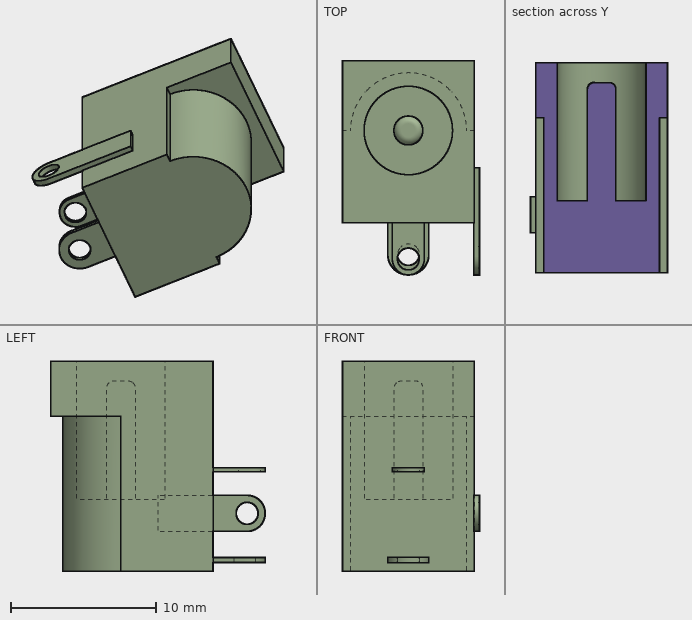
import cadquery as cq


body_width = 9.1
body_height = 14.48
body_depth = 11.18
axis_to_back = 4.82
flange_height = 3.8
barrel_diameter = 8.0

socket_diameter = 6.1
socket_depth = 9.5
pin_diameter = 2.0
pin_recess = 1.35
pin_tip_fillet = 0.5

tab_length = 3.6
tab_hole_diameter = 1.5
tab_root = 1.0

upper_tab_width = 2.2
upper_tab_thickness = 0.3
upper_tab_z = 7.0

lower_tab_width = 2.85
lower_tab_thickness = 0.37
lower_tab_z = 0.78

side_tab_width = 2.5
side_tab_thickness = 0.42
side_tab_protrusion = 0.37
side_tab_overlap = 3.8
side_tab_z = 4.0

front_y = axis_to_back - body_depth
tab_tip_y = front_y - tab_length
flange_bottom_z = body_height - flange_height
socket_floor_z = body_height - socket_depth
pin_length = socket_depth - pin_recess


def make_housing():
    """Block reaching back to the socket axis, with a full-depth flange and a round barrel below it."""
    block = cq.Workplane("XY").box(
        body_width, -front_y, body_height, centered=(True, False, False)
    ).translate((0, front_y, 0))
    flange = cq.Workplane("XY").box(
        body_width, body_depth, flange_height, centered=(True, False, False)
    ).translate((0, front_y, flange_bottom_z))
    barrel = cq.Workplane("XY").circle(barrel_diameter / 2).extrude(flange_bottom_z)
    return block.union(flange).union(barrel)


def make_socket():
    """Blind bore that receives the plug, open at the top."""
    return (
        cq.Workplane("XY")
        .workplane(offset=socket_floor_z)
        .circle(socket_diameter / 2)
        .extrude(socket_depth)
    )


def make_pin():
    """Centre pin with a rounded tip, standing on the socket floor."""
    return (
        cq.Workplane("XY")
        .workplane(offset=socket_floor_z)
        .circle(pin_diameter / 2)
        .extrude(pin_length)
        .faces(">Z")
        .edges()
        .fillet(pin_tip_fillet)
    )


def make_tab(width, thickness, root_y):
    """Flat round-ended tab from root_y to the tab tip, centred on the XY plane."""
    radius = width / 2
    eye_y = tab_tip_y + radius
    return (
        cq.Workplane("XY")
        .workplane(offset=-thickness / 2)
        .moveTo(-radius, root_y)
        .lineTo(-radius, eye_y)
        .threePointArc((0, tab_tip_y), (radius, eye_y))
        .lineTo(radius, root_y)
        .close()
        .moveTo(0, eye_y)
        .circle(tab_hole_diameter / 2)
        .extrude(thickness)
    )


def make_front_tab(width, thickness, z):
    """Horizontal tab leaving the front face at height z."""
    return make_tab(width, thickness, front_y + tab_root).translate((0, 0, z))


def make_side_tab():
    """Vertical tab partly sunk into the +X side of the housing."""
    tab_x = body_width / 2 + side_tab_protrusion - side_tab_thickness / 2
    upright = make_tab(side_tab_width, side_tab_thickness, front_y + side_tab_overlap).rotate(
        (0, 0, 0), (0, 1, 0), 90
    )
    return upright.translate((tab_x, 0, side_tab_z))


result = (
    make_housing()
    .cut(make_socket())
    .union(make_pin())
    .union(make_front_tab(upper_tab_width, upper_tab_thickness, upper_tab_z))
    .union(make_front_tab(lower_tab_width, lower_tab_thickness, lower_tab_z))
    .union(make_side_tab())
)